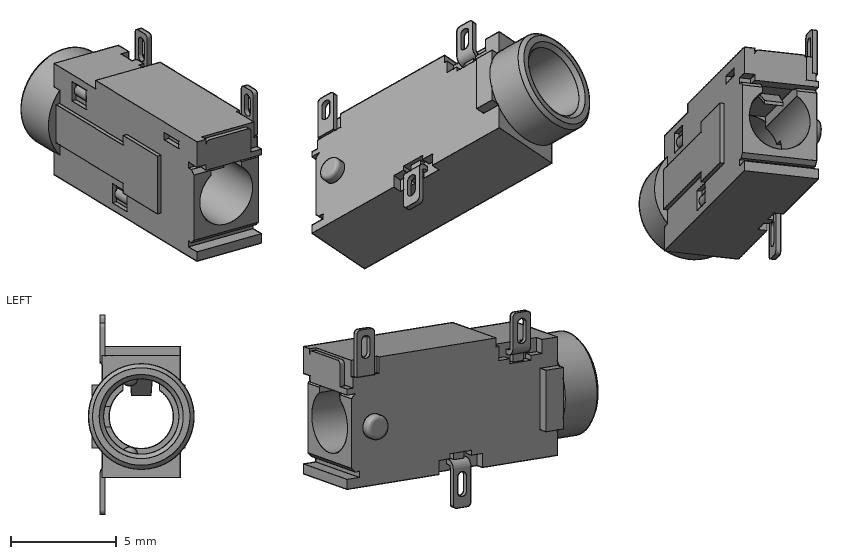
import cadquery as cq
import math

length = 14.0

barrel_dia = 5.0
barrel_rad = barrel_dia / 2
barrel_chamfer = 0.2
collar_end = 2.5
mouth_rad = 1.99
bore_rad = 1.78
bore_depth = 9.0
throat_rad = 1.51
key_width = 0.97
key_depth = 0.49

body_start = 2.0
body_half_y = 1.85
body_half_z = 2.88
tall_start = 5.5
tall_top = 3.32

notch_start = 13.3
middle_end = 13.75
middle_top = 1.5
middle_bottom = -1.89
middle_chamfer = 0.21
notch_height = 0.3
upper_notch_bottom = middle_top + middle_chamfer
upper_notch_top = upper_notch_bottom + notch_height
lower_notch_top = middle_bottom - middle_chamfer
lower_notch_bottom = lower_notch_top - notch_height

pad_height = 0.21
pad_step = 8.12
pad_end = 10.99
pad_narrow_half = 1.0
pad_wide_half = 1.5

locator_height = 0.49
flange_length = 1.0
flange_width = 3.0
peg_x = 12.5
peg_rad = 0.6
peg_fillet = 0.2

tab_width = 1.01
tab_thickness = 0.25
tab_face = 1.96
tab_corner = 0.21
eye_width = 0.49
eye_length = 1.22
bend_rad = 0.17
bend_z = 2.73
window_width = 1.2
window_inner_z = 1.51
window_outer_z = 2.5
window_depth = 0.24
roll_rad = 0.34
roll_bulge = 0.17
roll_z = 2.05
recess_width = 2.46
recess_floor_y = 1.39
recess_floor_z = 2.2
pocket_floor_z = 1.96
tongue_width = 0.59
tongue_face = 1.67
bump_rad = 0.39
bump_y = 0.55
bump_z = 1.83
upper_contact_x = 4.12
upper_tab_end = 4.41
lower_contact_x = 7.52
lower_tab_end = 4.63

tip_tab_x = 13.0
tip_tab_end = 4.8
tip_eye_base = 3.39
tip_eye_length = 1.1
tip_pocket_start = 12.17
tip_pocket_floor_y = 1.67
tip_pocket_floor_z = 2.52
tip_slot_start = 13.65
tip_slot_end_y = -1.32
bar_start = 13.75
bar_end_y = 1.25
bar_top = 3.25
bar_fillet = 0.18
spring_slot_width = 1.72
spring_slot_top = 1.79
spring_root_x = 11.9
spring_tip_x = 12.88
spring_tip_z = 1.0
spring_thickness = 0.17
spring_root_width = 1.05
spring_tip_width = 0.92

mark_x = (11.24, 12.47)
mark_z = (2.4, 2.77)
mark_depth = 0.28


def block(x, y, z):
    """Box between pairs of coordinates, each given in either order."""
    spans = [sorted(pair) for pair in (x, y, z)]
    sizes = [high - low for low, high in spans]
    corner = [low for low, high in spans]
    return cq.Workplane("XY").box(*sizes, centered=False).translate(tuple(corner))


def around(center, width):
    return (center - width / 2, center + width / 2)


def rod(radius, start, end):
    """Cylinder on the barrel axis."""
    return cq.Workplane("YZ", origin=(start, 0, 0)).circle(radius).extrude(end - start)


def housing():
    chamfer_start = middle_end - middle_chamfer
    outline = [
        (body_start, -body_half_z),
        (length, -body_half_z),
        (length, lower_notch_bottom),
        (notch_start, lower_notch_bottom),
        (notch_start, lower_notch_top),
        (chamfer_start, lower_notch_top),
        (middle_end, middle_bottom),
        (middle_end, middle_top),
        (chamfer_start, upper_notch_bottom),
        (notch_start, upper_notch_bottom),
        (notch_start, upper_notch_top),
        (length, upper_notch_top),
        (length, tall_top),
        (tall_start, tall_top),
        (tall_start, body_half_z),
        (body_start, body_half_z),
    ]
    return cq.Workplane("XZ").polyline(outline).close().extrude(body_half_y, both=True)


def barrel():
    full = rod(barrel_rad, 0, body_start).faces("<X").chamfer(barrel_chamfer)
    collar = rod(barrel_rad, body_start, collar_end)
    front_half = block((body_start, collar_end), (-barrel_rad, 0), (-barrel_rad, barrel_rad))
    return full.union(collar.intersect(front_half))


def front_pad():
    y = (-body_half_y - pad_height, -body_half_y)
    narrow = block((body_start, pad_step), y, (-pad_narrow_half, pad_narrow_half))
    wide = block((pad_step, pad_end), y, (-pad_wide_half, pad_wide_half))
    return narrow.union(wide)


def rear_locators():
    flange = block(
        (body_start, body_start + flange_length),
        (bore_rad, body_half_y + locator_height),
        around(0, flange_width),
    )
    peg = (
        cq.Workplane("XZ", origin=(peg_x, body_half_y, 0))
        .circle(peg_rad)
        .extrude(-locator_height)
        .faces(">Y")
        .edges()
        .fillet(peg_fillet)
    )
    return flange.union(peg)


def bore():
    mouth_depth = mouth_rad - bore_rad
    profile = [
        (0, 0),
        (0, mouth_rad),
        (mouth_depth, bore_rad),
        (bore_depth, bore_rad),
        (bore_depth, throat_rad),
        (length, throat_rad),
        (length, 0),
    ]
    return cq.Workplane("XY").polyline(profile).close().revolve(360, (0, 0, 0), (1, 0, 0))


def throat_key():
    key = block((bore_depth, bore_depth + key_depth), (0, bore_rad), around(0, key_width))
    return key.intersect(rod(bore_rad, 0, length))


def front_mark():
    return block(mark_x, (-body_half_y, -body_half_y + mark_depth), mark_z)


def spring_slot():
    return block((bore_depth, length), around(0, spring_slot_width), (0, spring_slot_top))


def eye(x, base, tip):
    """Rounded slot through a tab, running in Z from base to tip."""
    return (
        cq.Workplane("XZ", origin=(x, 0, (base + tip) / 2))
        .slot2D(abs(tip - base), eye_width, 90)
        .extrude(-2 * tab_face)
    )


def round_tab_end(tab, side):
    end = ">Z" if side > 0 else "<Z"
    return tab.faces(end).edges("|Y").fillet(tab_corner)


def contact_cuts(x, side):
    """Window and tab recess of a side contact; side is +1 for the top and -1 for the bottom."""
    window = block(
        around(x, window_width),
        (-body_half_y - pad_height, -body_half_y + window_depth),
        (side * window_inner_z, side * window_outer_z),
    )
    rear = (recess_floor_y, body_half_y)
    recess = block(around(x, recess_width), rear, (side * recess_floor_z, side * body_half_z))
    pocket = block(around(x, window_width), rear, (side * pocket_floor_z, side * body_half_z))
    tongue = block(
        around(x, tongue_width),
        (recess_floor_y, tongue_face),
        (side * pocket_floor_z, side * body_half_z),
    )
    return window.union(recess.union(pocket).cut(tongue))


def bent_tab(x, side, end):
    """Tab that turns a quarter bend towards -Y and runs into the recess floor."""
    inner_face = tab_face - tab_thickness
    outer_rad = bend_rad + tab_thickness
    center_y = inner_face - bend_rad
    diagonal = math.sqrt(0.5)
    tab = (
        cq.Workplane("YZ", origin=(x - tab_width / 2, 0, 0))
        .moveTo(tab_face, side * end)
        .lineTo(tab_face, side * bend_z)
        .threePointArc(
            (center_y + outer_rad * diagonal, side * (bend_z - outer_rad * diagonal)),
            (center_y, side * (bend_z - outer_rad)),
        )
        .lineTo(recess_floor_y, side * (bend_z - outer_rad))
        .lineTo(recess_floor_y, side * (bend_z - bend_rad))
        .lineTo(center_y, side * (bend_z - bend_rad))
        .threePointArc(
            (center_y + bend_rad * diagonal, side * (bend_z - bend_rad * diagonal)),
            (inner_face, side * bend_z),
        )
        .lineTo(inner_face, side * end)
        .close()
        .extrude(tab_width)
    )
    tab = round_tab_end(tab, side)
    return tab.cut(eye(x, side * body_half_z, side * (body_half_z + eye_length)))


def contact_parts(x, side, end):
    roll_y = -body_half_y + window_depth - roll_bulge + roll_rad
    roll = (
        cq.Workplane("YZ", origin=(x - tab_width / 2, roll_y, side * roll_z))
        .circle(roll_rad)
        .extrude(tab_width)
    )
    bump = cq.Workplane("XY").sphere(bump_rad).translate((x, bump_y, side * bump_z))
    return bent_tab(x, side, end).union(roll).union(bump)


def tip_cuts():
    pocket = block(
        (tip_pocket_start, length),
        (tip_pocket_floor_y, body_half_y),
        (tip_pocket_floor_z, tall_top),
    )
    slot = block(
        (tip_slot_start, length),
        (tip_slot_end_y, body_half_y),
        (upper_notch_bottom, tall_top),
    )
    return pocket.union(slot)


def tip_tab():
    tab = block(
        around(tip_tab_x, tab_width),
        (tab_face - tab_thickness, tab_face),
        (tip_pocket_floor_z, tip_tab_end),
    )
    tab = round_tab_end(tab, 1)
    return tab.cut(eye(tip_tab_x, tip_eye_base, tip_eye_base + tip_eye_length))


def tip_bar():
    """Upright bar across the tail, on a foot that fills the upper notch."""
    bar = block((bar_start, length), (tip_slot_end_y, bar_end_y), (upper_notch_bottom, bar_top))
    bar = bar.faces(">Z").edges("|X").fillet(bar_fillet)
    foot = block(
        (notch_start, length),
        (tip_slot_end_y, body_half_y),
        (upper_notch_bottom, upper_notch_top),
    )
    return bar.union(foot)


def tip_spring():
    """Leaf sloping down into the bore, narrowing towards its tip."""
    side_view = [
        (spring_root_x, spring_slot_top),
        (spring_tip_x, spring_tip_z),
        (spring_tip_x, spring_tip_z + spring_thickness),
        (spring_root_x, spring_slot_top + spring_thickness),
    ]
    plan_view = [
        (spring_root_x, -spring_root_width / 2),
        (spring_tip_x, -spring_tip_width / 2),
        (spring_tip_x, spring_tip_width / 2),
        (spring_root_x, spring_root_width / 2),
    ]
    leaf = cq.Workplane("XZ").polyline(side_view).close().extrude(spring_root_width, both=True)
    plan = cq.Workplane("XY").polyline(plan_view).close().extrude(tall_top)
    return leaf.intersect(plan)


side_contacts = [
    (upper_contact_x, 1, upper_tab_end),
    (lower_contact_x, -1, lower_tab_end),
]

result = housing().union(barrel()).union(front_pad()).union(rear_locators())
for cutter in (bore(), throat_key(), spring_slot(), tip_cuts(), front_mark()):
    result = result.cut(cutter)
for contact_x, contact_side, tab_end in side_contacts:
    result = result.cut(contact_cuts(contact_x, contact_side))
    result = result.union(contact_parts(contact_x, contact_side, tab_end))
for part in (tip_tab(), tip_bar(), tip_spring()):
    result = result.union(part)